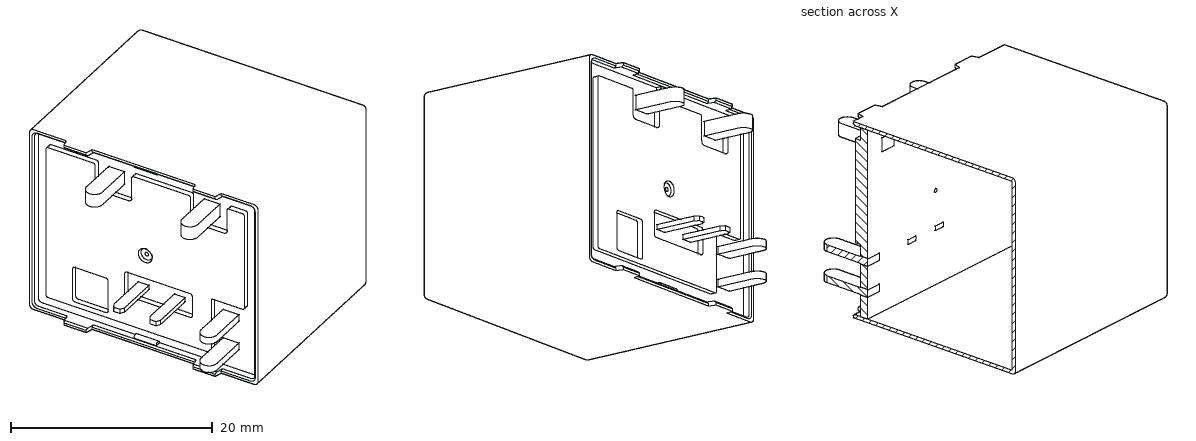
import cadquery as cq


case_width = 26.5
case_height = 21.5
case_depth = 21.0
case_edge_radius = 0.5
side_wall = 0.5
top_wall = 0.45
back_wall = 0.5
cavity_corner_radius = 0.42
mouth_chamfer = 0.19
cavity_width = case_width - 2 * side_wall
cavity_height = case_height - 2 * top_wall

tab_x = 7.47
tab_root_width = 3.02
tab_tip_width = 2.6
tab_length = 0.8

ridge_width = 2.6
ridge_radius = 0.32

base_front = 0.9
base_thickness = 1.0
base_back = base_front + base_thickness

pad_height = 0.6
pad_front = base_front - pad_height
pad_side = 11.47
pad_top = 8.95
pad_corner_radius = 0.2
pad_corner_cut_x = 7.65
pad_corner_cut_z = -2.46
notch_width = 4.25
notch_floor_z = 5.88
notch_corner_radius = 0.4

pocket_corner_radius = 0.3
coil_pocket_width = 7.85
coil_pocket_height = 2.84
square_pocket_size = 4.13
square_pocket_x = -6.35
square_pocket_z = -6.33

vent_diameter = 1.62
vent_floor_diameter = 1.32
vent_depth = 0.3
vent_hole_diameter = 0.4

terminal_tip = -4.21
load_width = 1.83
upper_load_thickness = 1.5
lower_load_thickness = 0.8
upper_load_x = (-3.68, 7.37)
upper_load_z = 7.95
lower_load_x = 9.57
lower_load_z = (-4.13, -7.53)
coil_width = 1.25
coil_thickness = 0.5
coil_tip_chamfer = 0.26
coil_tip_length = 0.45
coil_x = (-0.55, 3.63)
coil_z = -4.13
coil_pocket_x = sum(coil_x) / 2


def block(width, height, y_front, y_back, x=0, z=0):
    """Box centred on (x, z) that runs from y_front to y_back."""
    return cq.Workplane("XY").box(width, y_back - y_front, height).translate((x, (y_front + y_back) / 2, z))


def front_plane(y):
    """Work plane at depth y, with X to the right and Z up; positive extrusion goes towards -Y."""
    return cq.Workplane("XZ", origin=(0, y, 0))


def case_tab(x):
    """Tapered tab on the top wall, chamfered on the inner edge of its tip."""
    root_half = tab_root_width / 2
    tip_half = tab_tip_width / 2
    tab = (
        cq.Workplane("XY", origin=(x, 0, cavity_height / 2))
        .polyline([
            (-root_half, mouth_chamfer),
            (-root_half, 0),
            (-tip_half, -tab_length),
            (tip_half, -tab_length),
            (root_half, 0),
            (root_half, mouth_chamfer),
        ])
        .close()
        .extrude(top_wall)
    )
    return tab.faces("<Y").edges("<Z").chamfer(mouth_chamfer)


def snap_ridge():
    """Half-round ridge on the inside of the top wall, just in front of the base."""
    return (
        cq.Workplane("YZ", origin=(-ridge_width / 2, 0, 0))
        .center(base_front - ridge_radius, cavity_height / 2)
        .circle(ridge_radius)
        .extrude(ridge_width)
    )


def make_case():
    """Rounded box, open and chamfered at the mouth, with its tabs and snap ridges."""
    shell = block(case_width, case_height, 0, case_depth)
    shell = shell.edges("|Y or >Y").fillet(case_edge_radius)
    cavity = block(cavity_width, cavity_height, 0, case_depth - back_wall)
    shell = shell.cut(cavity.edges("|Y").fillet(cavity_corner_radius))
    margin = side_wall / 10
    half_width = cavity_width / 2 + margin
    half_height = cavity_height / 2 + margin
    mouth_edges = cq.selectors.BoxSelector(
        (-half_width, -margin, -half_height),
        (half_width, margin, half_height),
        boundingbox=True,
    )
    shell = shell.edges(mouth_edges).chamfer(mouth_chamfer)
    for detail in (case_tab(-tab_x), case_tab(tab_x), snap_ridge()):
        shell = shell.union(detail).union(detail.mirror("XY"))
    return shell


def make_pad():
    """Raised pad with its lower right corner cut away and a notch around each upper terminal."""
    pad = block(2 * pad_side, 2 * pad_top, pad_front, base_front)
    corner_cut = block(
        pad_side - pad_corner_cut_x,
        pad_corner_cut_z + pad_top,
        pad_front,
        base_front,
        (pad_side + pad_corner_cut_x) / 2,
        (pad_corner_cut_z - pad_top) / 2,
    )
    pad = pad.cut(corner_cut.edges("|Y").edges("<X and >Z").fillet(pad_corner_radius))
    notch_height = pad_top - notch_floor_z
    notch_z = (pad_top + notch_floor_z) / 2
    for x in upper_load_x:
        notch = block(notch_width, notch_height, pad_front, base_front, x, notch_z)
        pad = pad.cut(notch.edges("|Y and <Z").fillet(notch_corner_radius))
    return pad.edges("|Y").edges(">Z or <Z or >X or <X").fillet(pad_corner_radius)


def pocket(width, height, x, z):
    """Round-cornered pocket as deep as the pad is high."""
    return block(width, height, pad_front, base_front, x, z).edges("|Y").fillet(pocket_corner_radius)


def vent():
    """Tapered dimple with a small hole on through the base."""
    dimple = (
        front_plane(pad_front)
        .circle(vent_diameter / 2)
        .workplane(offset=-vent_depth)
        .circle(vent_floor_diameter / 2)
        .loft()
    )
    hole = front_plane(base_back).circle(vent_hole_diameter / 2).extrude(base_back - pad_front)
    return dimple.union(hole)


def make_base(terminals):
    """Base plate that fits the case cavity, with a slot for each terminal."""
    base = block(cavity_width, cavity_height, base_front, base_back)
    base = base.edges("|Y").fillet(cavity_corner_radius).union(make_pad())
    base = base.cut(pocket(coil_pocket_width, coil_pocket_height, coil_pocket_x, coil_z))
    base = base.cut(pocket(square_pocket_size, square_pocket_size, square_pocket_x, square_pocket_z))
    base = base.cut(vent())
    for terminal in terminals:
        base = base.cut(terminal)
    return base


def load_terminal(x, z, thickness):
    """Flat blade with a fully rounded tip."""
    radius = load_width / 2
    round_start = terminal_tip + radius
    return (
        cq.Workplane("XY", origin=(x, 0, z - thickness / 2))
        .moveTo(-radius, base_back)
        .lineTo(-radius, round_start)
        .threePointArc((0, terminal_tip), (radius, round_start))
        .lineTo(radius, base_back)
        .close()
        .extrude(thickness)
    )


def coil_terminal(x):
    """Thin blade with a bevelled tip."""
    blade = block(coil_width, coil_thickness, terminal_tip, base_back, x, coil_z)
    return blade.faces("<Y").edges("|Z").chamfer(coil_tip_length, coil_tip_chamfer)


upper_terminals = [load_terminal(x, upper_load_z, upper_load_thickness) for x in upper_load_x]
lower_terminals = [load_terminal(lower_load_x, z, lower_load_thickness) for z in lower_load_z]
coil_terminals = [coil_terminal(x) for x in coil_x]
terminals = upper_terminals + lower_terminals + coil_terminals

case = make_case()
base = make_base(terminals)
result = cq.Compound.makeCompound([case.val(), base.val(), *[terminal.val() for terminal in terminals]])